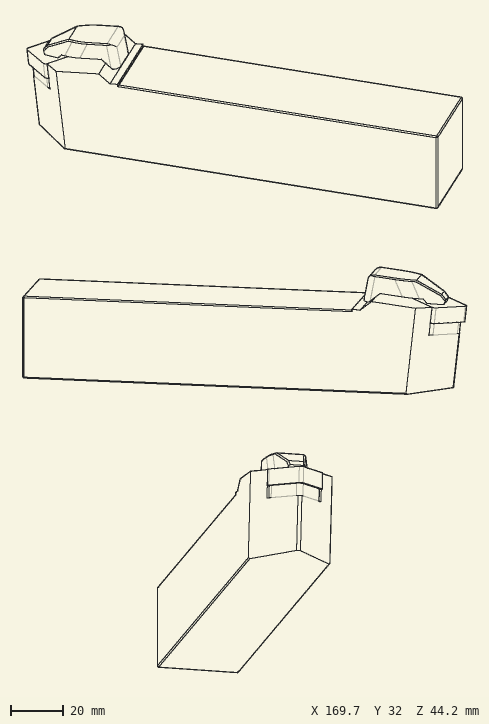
import cadquery as cq
import math

total_length = 169.7
shank_size = 32.0
half_width = shank_size / 2
edge_chamfer = 0.5
head_end = 41.4
tilt = 6.3

tip_flat = 1.5
flank_setback = 1.4
step_top = 34.1
step_depth = 4.0

insert_side = 16.0
insert_thickness = 6.3
insert_corner = 1.2
insert_half_diagonal = insert_side / math.sqrt(2)
insert_sharp_tip = -insert_corner * (math.sqrt(2) - 1)
insert_center = insert_sharp_tip + insert_half_diagonal

shim_thickness = 4.8
shim_corner = 1.9
shim_side = insert_side - flank_setback / math.sqrt(2)
shim_center = insert_center + flank_setback / 2
head_sharp_tip = insert_sharp_tip + flank_setback

clamp_height = 8.3
clamp_half_width = 7.5
clamp_nose = 8.3
nose_tip = (7.8, 1.9)
nose_shoulder = (9.7, 3.7)
slope_top = 19.5
clamp_rear = 38.2
clamp_foot_rear = 39.0
clamp_foot_depth = 2.5
clamp_gap = 1.5
clamp_pad_end = 14.5
clamp_rear_round = 2.9
clamp_bevel = 0.5
flank_lean = 30
flank_taper = 21
flank_start = 19.7
flank_blend = 15.6


def to_world(solid):
    """Move a solid from the tilted frame of the seat plane to its place on the tool."""
    return solid.rotate((0, 0, 0), (0, 1, 0), -tilt).translate((0, 0, shank_size))


def square_plate(side, center, top, thickness, corner=0):
    """Square plate with one corner pointing to -U, its top face at W = top."""
    plate = cq.Workplane("XY").rect(side, side).extrude(-thickness)
    if corner:
        plate = plate.edges("|Z").fillet(corner)
    return plate.rotate((0, 0, 0), (0, 0, 1), 45).translate((center, 0, top))


def make_shank():
    """Square bar with chamfered edges; the buried lower edge towards the head stays sharp."""
    shank = cq.Workplane("XY").box(
        total_length - head_end, shank_size, shank_size, centered=(False, True, False)
    ).translate((head_end, 0, 0))
    return shank.edges(">X or >Z or (<Z and |X)").chamfer(edge_chamfer)


def make_head():
    """Pointed head under the tilted seat plane, with a 45 degree step down to the shank."""
    shoulder = head_sharp_tip + half_width
    flat_u = head_sharp_tip + tip_flat / 2
    far_u = 2 * head_end
    depth = 2 * shank_size
    head = (
        cq.Workplane("XY")
        .polyline([
            (flat_u, -tip_flat / 2), (shoulder, -half_width), (far_u, -half_width),
            (far_u, half_width), (shoulder, half_width), (flat_u, tip_flat / 2),
        ])
        .close()
        .extrude(-depth)
    )
    step = (
        cq.Workplane("XZ")
        .polyline([(step_top, 0), (step_top + step_depth, -step_depth), (far_u, -step_depth), (far_u, 0)])
        .close()
        .extrude(half_width, both=True)
    )
    envelope = (
        cq.Workplane("XY")
        .box(head_end, shank_size, 2 * shank_size, centered=(False, True, False))
        .edges("<Z and |X")
        .chamfer(edge_chamfer)
    )
    return to_world(head.cut(step)).intersect(envelope)


def make_pockets():
    """Sharp-cornered recesses for the insert and the shim below it."""
    insert_pocket = square_plate(insert_side, insert_center, 0, insert_thickness)
    shim_pocket = square_plate(shim_side, shim_center, -insert_thickness, shim_thickness)
    return to_world(insert_pocket.union(shim_pocket))


def make_clamp_planform():
    """Outline of the clamp from above, extruded along the lean of its tapered nose flanks."""
    lean = math.radians(flank_lean)
    leaning = cq.Plane(
        origin=(flank_start, 0, 0),
        xDir=(math.cos(lean), 0, -math.sin(lean)),
        normal=(math.sin(lean), 0, math.cos(lean)),
    )
    reach = 2 * clamp_half_width
    nose_half_width = clamp_half_width - reach * math.tan(math.radians(flank_taper))
    planform = (
        cq.Workplane(leaning)
        .polyline([
            (-reach, -nose_half_width), (0, -clamp_half_width), (clamp_rear, -clamp_half_width),
            (clamp_rear, clamp_half_width), (0, clamp_half_width), (-reach, nose_half_width),
        ])
        .close()
        .extrude(clamp_rear, both=True)
    )
    flank_starts = cq.selectors.BoxSelector(
        (flank_start - 1.7, -reach, -1.7), (flank_start + 1.7, reach, 1.7))
    return planform.edges(flank_starts).fillet(flank_blend)


def make_clamp():
    """Clamp finger in the tilted frame: side profile trimmed by the planform, then bevelled."""
    foot_u = step_top + clamp_foot_depth
    slope_middle = ((nose_shoulder[0] + slope_top) / 2, 0, (nose_shoulder[1] + clamp_height) / 2)
    nose_middle = ((nose_tip[0] + nose_shoulder[0]) / 2, 0, (nose_tip[1] + nose_shoulder[1]) / 2)
    profile = (
        cq.Workplane("XZ")
        .polyline([
            (clamp_nose, 0), nose_tip, nose_shoulder, (slope_top, clamp_height), (clamp_rear, clamp_height),
            (clamp_foot_rear, -clamp_foot_depth), (foot_u, -clamp_foot_depth),
            (step_top - clamp_gap, clamp_gap), (clamp_pad_end + clamp_gap, clamp_gap), (clamp_pad_end, 0),
        ])
        .close()
        .extrude(clamp_half_width, both=True)
    )
    rear_face = profile.faces(">X")
    round_corners = rear_face.edges("not |Y").fillet(clamp_rear_round)
    round_top = rear_face.edges(">Z").fillet(clamp_rear_round)
    clamp = round_top.intersect(make_clamp_planform())
    side_rims = clamp.faces(">Z").edges("not |Y")
    for point in (slope_middle, nose_middle):
        face = clamp.faces(cq.selectors.NearestToPointSelector(point))
        side_rims = side_rims.add(face.edges("not |Y"))
    return side_rims.chamfer(clamp_bevel).intersect(round_corners)


def make_holder():
    """Holder body: shank and head with the shim and the clamp fixed in place."""
    shim = square_plate(shim_side, shim_center, -insert_thickness, shim_thickness, shim_corner)
    holder = make_shank().union(make_head()).cut(make_pockets())
    return holder.union(to_world(shim), clean=False).union(to_world(make_clamp()), clean=False)


def make_insert():
    """Cutting insert, a separate body in its pocket."""
    return to_world(square_plate(insert_side, insert_center, 0, insert_thickness, insert_corner))


holder = make_holder()
insert = make_insert()
result = cq.Compound.makeCompound([holder.solids().val(), insert.val()])